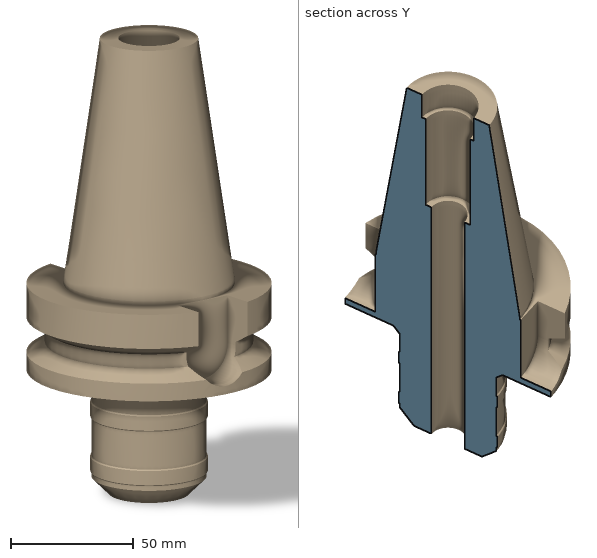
import cadquery as cq
import math


gauge_radius = 69.85 / 2
taper_length = 101.8
taper_per_length = 7 / 24
taper_tip_radius = gauge_radius - taper_length * taper_per_length / 2

flange_radius = 50.0
flange_top = -1.5
flange_bottom = -38.0
groove_radius = 42.5
groove_center = -23.2
groove_floor_width = 6.0
groove_flank_angle = 30.0
groove_floor_top = groove_center + groove_floor_width / 2
groove_floor_bottom = groove_center - groove_floor_width / 2
groove_flank_height = (flange_radius - groove_radius) * math.tan(math.radians(groove_flank_angle))

nose_radius = 23.5
nose_bottom = -90.0
nose_collar_size = 3.0
nose_chamfer = 7.0
band_height = 0.5
band_length = 7.0
band_bevel = 0.5
band_tops = (-51.0, -74.0)

pilot_radius = 12.5
pilot_depth = 13.0
thread_radius = 10.75
thread_depth = 62.0
through_radius = 8.0

slot_width = 25.7
slot_floor_distance = 35.3
slot_bottom = -34.5


def revolve_profile(points):
    """Turn a closed (radius, z) outline about the Z axis."""
    return cq.Workplane("XZ").polyline(points).close().revolve(360, (0, 0, 0), (0, 1, 0))


def band_points(top):
    """Outline of one raised band, from its upper edge to its lower edge."""
    bottom = top - band_length
    band_radius = nose_radius + band_height
    return [
        (nose_radius, top),
        (band_radius, top - band_bevel),
        (band_radius, bottom + band_bevel),
        (nose_radius, bottom),
    ]


def make_body():
    shank = [
        (0, taper_length),
        (taper_tip_radius, taper_length),
        (gauge_radius, 0),
        (gauge_radius, flange_top),
    ]
    flange = [
        (flange_radius, flange_top),
        (flange_radius, groove_floor_top + groove_flank_height),
        (groove_radius, groove_floor_top),
        (groove_radius, groove_floor_bottom),
        (flange_radius, groove_floor_bottom - groove_flank_height),
        (flange_radius, flange_bottom),
    ]
    nose = [
        (nose_radius + nose_collar_size, flange_bottom),
        (nose_radius, flange_bottom - nose_collar_size),
    ]
    for top in band_tops:
        nose += band_points(top)
    nose += [
        (nose_radius, nose_bottom + nose_chamfer),
        (nose_radius - nose_chamfer, nose_bottom),
        (0, nose_bottom),
    ]
    return revolve_profile(shank + flange + nose)


def make_bore():
    pilot_floor = taper_length - pilot_depth
    thread_floor = taper_length - thread_depth
    return revolve_profile([
        (0, taper_length),
        (pilot_radius, taper_length),
        (pilot_radius, pilot_floor),
        (thread_radius, pilot_floor),
        (thread_radius, thread_floor),
        (through_radius, thread_floor),
        (through_radius, nose_bottom),
        (0, nose_bottom),
    ])


def make_drive_slot(side):
    """Round-bottomed slot cutter, from the flat slot floor out past the rim on one side (+1 or -1)."""
    half_width = slot_width / 2
    arc_center = slot_bottom + half_width
    return (
        cq.Workplane("YZ", origin=(side * slot_floor_distance, 0, 0))
        .moveTo(-half_width, flange_top)
        .lineTo(-half_width, arc_center)
        .threePointArc((0, slot_bottom), (half_width, arc_center))
        .lineTo(half_width, flange_top)
        .close()
        .extrude(side * flange_radius)
    )


result = make_body().cut(make_bore())
for side in (1, -1):
    result = result.cut(make_drive_slot(side))